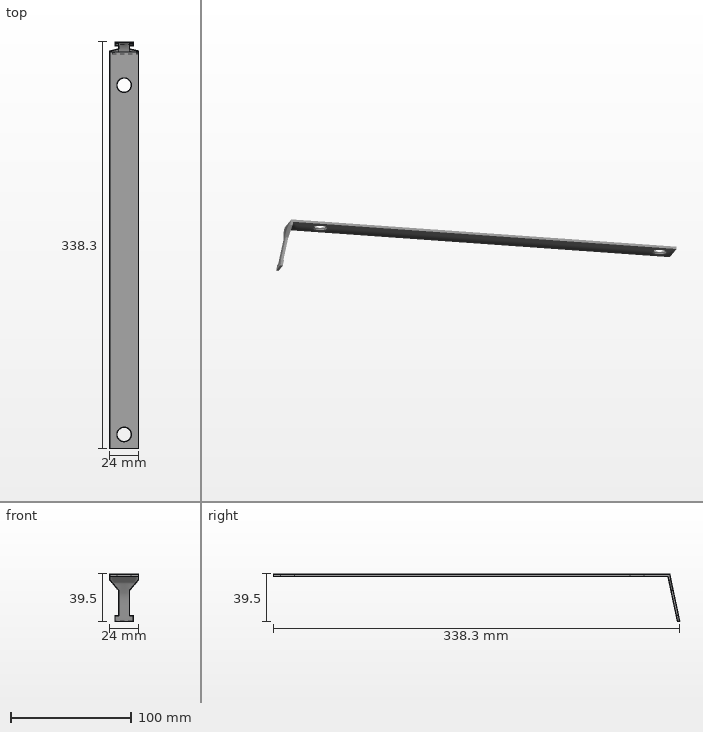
import cadquery as cq
import math

length = 338.3
width = 24.0
height = 39.5
thickness = 2.0

lean = math.radians(12)

hole_diameter = 12.0
front_hole_y = 12.0
hole_from_bend = 27.5

stem_width = 9.0
foot_width = 15.2
foot_height = 5.0
shoulder_drop = 4.7
taper_drop = 13.5

tip_y = length
tip_z = thickness * math.sin(lean) - height
bend_y = tip_y + tip_z * math.tan(lean)
inner_tip_y = tip_y - thickness * math.cos(lean)
inner_bend_y = bend_y + thickness * math.tan(lean) - thickness / math.cos(lean)


def bent_strip():
    """Sharply bent sheet, full width, with its top face at Z = 0."""
    side_profile = [
        (0, 0),
        (bend_y, 0),
        (tip_y, tip_z),
        (inner_tip_y, -height),
        (inner_bend_y, -thickness),
        (0, -thickness),
    ]
    return cq.Workplane("YZ").polyline(side_profile).close().extrude(width / 2, both=True)


def front_outline():
    """Block whose front shape tapers to a stem and widens again at the foot."""
    right_side = [
        (width / 2, 0),
        (width / 2, -shoulder_drop),
        (stem_width / 2, -taper_drop),
        (stem_width / 2, foot_height - height),
        (foot_width / 2, foot_height - height),
        (foot_width / 2, -height),
    ]
    left_side = [(-x, z) for x, z in reversed(right_side)]
    return cq.Workplane("XZ").polyline(right_side + left_side).close().extrude(-length)


def mounting_holes():
    """Two round cutters through the flat strip."""
    centers = [(0, front_hole_y), (0, bend_y - hole_from_bend)]
    return cq.Workplane("XY").pushPoints(centers).circle(hole_diameter / 2).extrude(-thickness)


result = bent_strip().intersect(front_outline()).cut(mounting_holes())